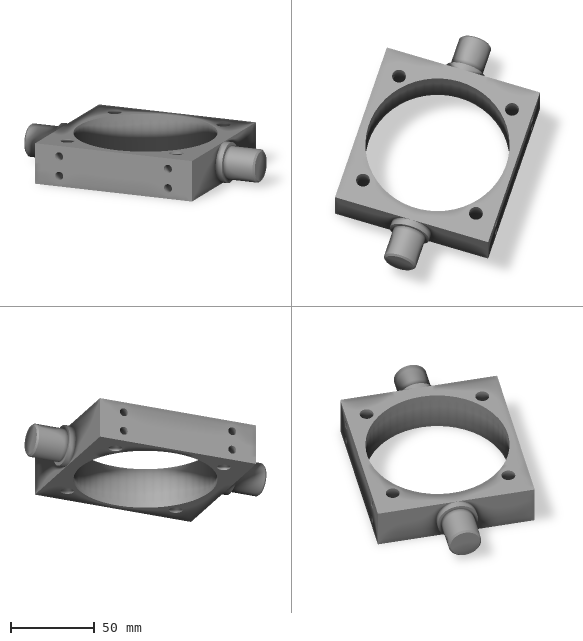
import cadquery as cq

body_length = 102.0
body_width = 96.0
thickness = 25.0
bore_diameter = 86.1

hole_spacing = 70.8
hole_diameter = 8.2

side_hole_diameter = 5.1
side_hole_pitch = 12.0
side_hole_depth = (body_width - hole_spacing) / 2

overall_length = 150.0
collar_diameter = 24.8
collar_length = 4.0
pin_diameter = 20.1
pin_chamfer = 1.0
trunnion_length = (overall_length - body_length) / 2


def make_body():
    """Plate centred on the origin with its bore and four corner holes."""
    return (
        cq.Workplane("XY")
        .box(body_length, body_width, thickness)
        .faces(">Z").workplane()
        .hole(bore_diameter)
        .faces(">Z").workplane()
        .rect(hole_spacing, hole_spacing, forConstruction=True)
        .vertices()
        .hole(hole_diameter)
    )


def make_side_holes(side):
    """Cutters from the +Y (side=1) or -Y (side=-1) face to the corner hole axes."""
    return (
        cq.Workplane("XZ", origin=(0, side * body_width / 2, 0))
        .rect(hole_spacing, side_hole_pitch, forConstruction=True)
        .vertices()
        .circle(side_hole_diameter / 2)
        .extrude(side * side_hole_depth)
    )


def make_trunnion(side):
    """Collar and chamfered pin on the +X (side=1) or -X (side=-1) face."""
    base = cq.Workplane("YZ", origin=(side * body_length / 2, 0, 0))
    collar = base.circle(collar_diameter / 2).extrude(side * collar_length)
    pin = base.circle(pin_diameter / 2).extrude(side * trunnion_length)
    end_face = ">X" if side > 0 else "<X"
    return collar.union(pin.faces(end_face).chamfer(pin_chamfer))


result = make_body()
for side in (-1, 1):
    result = result.cut(make_side_holes(side))
    result = result.union(make_trunnion(side))